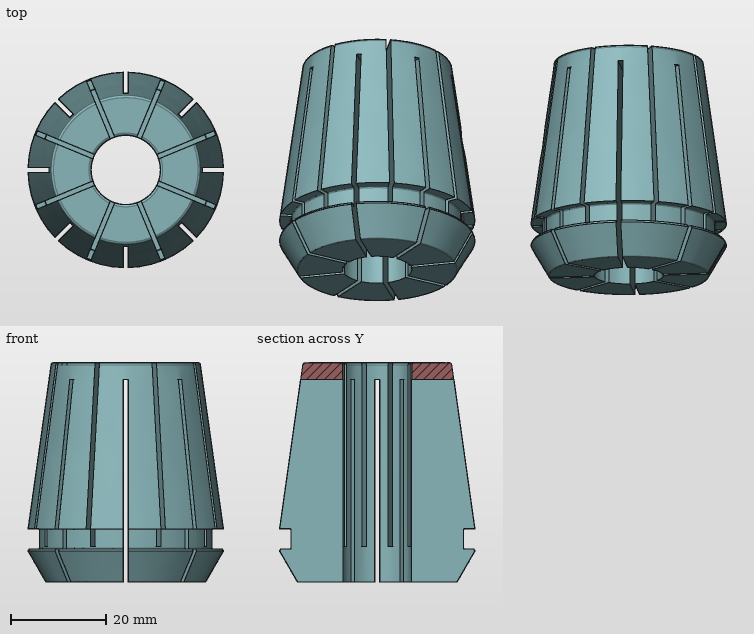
import cadquery as cq
import math

height = 46.0
max_diameter = 41.0
max_radius = max_diameter / 2
bore_diameter = 14.5
bore_radius = bore_diameter / 2

taper_angle = 8.0
taper_bottom_z = 11.2

neck_radius = 18.12
flange_top_z = 7.0
flange_angle = 30.0
flange_edge_width = 0.28
flange_edge_height = 0.45

top_edge_fillet = 0.5
neck_fillet = 0.2
bottom_edge_fillet = 0.2

slit_count = 8
slit_pitch = 360 / slit_count
slit_width = 1.0
bottom_slit_end_z = 42.45
top_slit_end_z = 7.5


def tapered_radius(length, angle):
    """Radius left after a cone narrows from the largest radius over a length."""
    return max_radius - length * math.tan(math.radians(angle))


def round_edge(body, radius, z, fillet):
    """Fillet the circular edge with the given radius and height."""
    tolerance = 0.0005

    def is_wanted(edge):
        return (
            edge.geomType() == "CIRCLE"
            and abs(edge.radius() - radius) < tolerance
            and abs(edge.Center().z - z) < tolerance
        )

    return body.edges().filter(is_wanted).fillet(fillet)


def make_body():
    """Revolve the outer profile and the bore about the Z axis, then round the edges."""
    flange_rim_z = flange_top_z - flange_edge_height
    bottom_radius = tapered_radius(flange_rim_z, flange_angle)
    top_radius = tapered_radius(height - taper_bottom_z, taper_angle)
    profile = [
        (bore_radius, 0),
        (bottom_radius, 0),
        (max_radius, flange_rim_z),
        (max_radius - flange_edge_width, flange_top_z),
        (neck_radius, flange_top_z),
        (neck_radius, taper_bottom_z),
        (max_radius, taper_bottom_z),
        (top_radius, height),
        (bore_radius, height),
    ]
    body = cq.Workplane("XZ").polyline(profile).close().revolve(360, (0, 0), (0, 1))
    rounded_edges = [
        (bore_radius, height, top_edge_fillet),
        (top_radius, height, top_edge_fillet),
        (neck_radius, taper_bottom_z, neck_fillet),
        (neck_radius, flange_top_z, neck_fillet),
        (bottom_radius, 0, bottom_edge_fillet),
    ]
    for radius, z, fillet in rounded_edges:
        body = round_edge(body, radius, z, fillet)
    return body


def make_slits(bottom_z, top_z, first_angle):
    """Ring of radial slits, each open from the bore to the outside."""
    slits = cq.Workplane("XY")
    for index in range(slit_count // 2):
        blade = (
            cq.Workplane("XY", origin=(0, 0, bottom_z))
            .rect(2 * height, slit_width)
            .extrude(top_z - bottom_z)
            .rotate((0, 0, 0), (0, 0, 1), first_angle + index * slit_pitch)
        )
        slits = slits.add(blade)
    return slits.combine()


body = make_body()
bottom_slits = make_slits(0, bottom_slit_end_z, 0)
top_slits = make_slits(top_slit_end_z, height, slit_pitch / 2)
result = body.cut(bottom_slits).cut(top_slits)